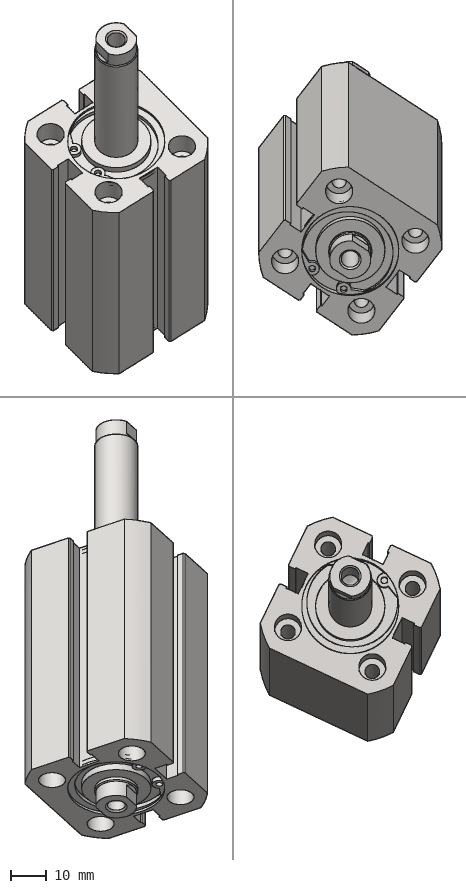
import cadquery as cq
import math


housing_width = 41.0
housing_length = 73.0
corner_radius = 25.5
mount_hole_spacing = 26.0
mount_hole_diameter = 4.0
counterbore_diameter = 7.5
counterbore_depth = 7.0

slot_floor_radius = 14.5
slot_width = 6.4
slot_mouth_width = 5.5
slot_lip_depth = 2.2
slot_mouth_chamfer = 0.4
slot_angles = (180, 270, 0)

rod_diameter = 12.0
rod_tip_diameter = 11.4
rod_top_reach = 46.0
rod_bottom_reach = 6.0
rod_tip_length = 4.8
rod_shoulder_chamfer = (rod_diameter - rod_tip_diameter) / 2
flat_width = 10.0
flat_length = 4.0
flat_runout_angle = 45
tapped_hole_diameter = 5.0
tapped_hole_depth = 12.0
tapped_hole_mouth_diameter = 6.0
drill_point_angle = 118

cover_diameter = 27.0
cover_boss_diameter = 19.2
cover_face_depth = 2.0
cover_length = 10.0

ring_thickness = 1.2
ring_slot_wall = 0.1
ring_outer_radius = slot_floor_radius - ring_slot_wall
ring_inner_radius = 12.6
ring_inner_offset = 1.2
lug_hole_x = 5.4
lug_hole_y = -10.8
lug_hole_radius = 0.94
lug_radius = 2.0
lug_root = (10.6, -8.0)
lug_neck = (7.5, -9.5)

half_width = housing_width / 2
mid_height = housing_length / 2
rod_bottom = -rod_bottom_reach
rod_top = housing_length + rod_top_reach


def mirrored_to_bottom(top_body):
    """Copy a body from the upper end of the housing to the lower end."""
    return top_body.mirror("XY", (0, 0, mid_height))


def cylinder(diameter, bottom, top):
    return cq.Workplane("XY", origin=(0, 0, bottom)).circle(diameter / 2).extrude(top - bottom)


def make_slot(angle):
    """T-slot cutter along the whole housing, opening outward at the given angle."""
    lip_inside = half_width - slot_lip_depth
    half_slot = slot_width / 2
    half_mouth = slot_mouth_width / 2
    chamfer_start = half_width - slot_mouth_chamfer
    half_mouth_outside = half_mouth + slot_mouth_chamfer
    upper_side = [
        (slot_floor_radius, half_slot),
        (lip_inside, half_slot),
        (lip_inside, half_mouth),
        (chamfer_start, half_mouth),
        (half_width, half_mouth_outside),
    ]
    lower_side = [(x, -y) for x, y in reversed(upper_side)]
    slot = cq.Workplane("XY").polyline(upper_side + lower_side).close().extrude(housing_length)
    return slot.rotate((0, 0, 0), (0, 0, 1), angle)


def make_mount_holes():
    """Four through holes, counterbored from both ends."""
    def at_corners(bottom, diameter, length):
        return (
            cq.Workplane("XY", origin=(0, 0, bottom))
            .rect(mount_hole_spacing, mount_hole_spacing, forConstruction=True)
            .vertices()
            .circle(diameter / 2)
            .extrude(length)
        )

    through = at_corners(0, mount_hole_diameter, housing_length)
    lower = at_corners(0, counterbore_diameter, counterbore_depth)
    upper = at_corners(housing_length - counterbore_depth, counterbore_diameter, counterbore_depth)
    return through.union(lower).union(upper)


def make_housing(snap_rings):
    housing = (
        cq.Workplane("XY")
        .rect(housing_width, housing_width)
        .extrude(housing_length)
        .intersect(cylinder(2 * corner_radius, 0, housing_length))
    )
    for angle in slot_angles:
        housing = housing.cut(make_slot(angle))
    housing = housing.cut(make_mount_holes())

    housing = housing.cut(cylinder(rod_diameter, 0, housing_length))
    recess_depth = cover_face_depth + cover_length
    cover_recess = cylinder(cover_diameter, housing_length - recess_depth, housing_length)
    housing = housing.cut(cover_recess).cut(mirrored_to_bottom(cover_recess))

    for ring in snap_rings:
        housing = housing.cut(ring)
    return housing


def make_cover():
    """Upper rod cover, with a boss flush with the end of the housing."""
    face = housing_length - cover_face_depth
    bottom = face - cover_length
    plug = cylinder(cover_diameter, bottom, face)
    boss = cylinder(cover_boss_diameter, bottom, housing_length)
    rod_bore = cylinder(rod_diameter, bottom, housing_length)
    return plug.union(boss).cut(rod_bore)


def make_snap_ring():
    """Upper snap ring, resting on the cover, with its gap and lugs on the -Y side."""
    bottom = housing_length - cover_face_depth
    plane = cq.Workplane("XY", origin=(0, 0, bottom))
    reach = 2
    lug_centre = (lug_hole_x, lug_hole_y)

    def disc(radius, x=0, y=0):
        return plane.center(x, y).circle(radius).extrude(ring_thickness)

    def plate(points):
        return plane.polyline(points).close().extrude(ring_thickness)

    def beyond(point):
        return (reach * point[0], reach * point[1])

    gap_right = beyond(lug_centre)
    gap_left = (-gap_right[0], gap_right[1])
    gap = plate([(0, 0), gap_left, gap_right])
    ring = disc(ring_outer_radius).cut(disc(ring_inner_radius, 0, -ring_inner_offset)).cut(gap)

    arm_outline = [lug_root, lug_neck, lug_centre, beyond(lug_centre), beyond(lug_root)]
    arm = plate(arm_outline).intersect(disc(ring_outer_radius))
    lug = arm.union(disc(lug_radius, *lug_centre))
    lug_hole = disc(lug_hole_radius, *lug_centre)
    ring = ring.union(lug).union(lug.mirror("YZ"))
    return ring.cut(lug_hole).cut(lug_hole.mirror("YZ"))


def make_flat(side):
    """Cutter for one wrench flat at the upper rod tip; side is -1 for -Y and 1 for +Y."""
    inner = flat_width / 2
    outer = rod_diameter
    flat_bottom = rod_top - flat_length
    runout_bottom = flat_bottom - (outer - inner) / math.tan(math.radians(flat_runout_angle))
    outline = [
        (side * inner, rod_top),
        (side * inner, flat_bottom),
        (side * outer, runout_bottom),
        (side * outer, rod_top),
    ]
    return cq.Workplane("YZ").polyline(outline).close().extrude(rod_diameter / 2, both=True)


def make_tapped_hole():
    """Cutter for the hole in the upper rod end: chamfered mouth and drill-point bottom."""
    radius = tapped_hole_diameter / 2
    mouth_radius = tapped_hole_mouth_diameter / 2
    mouth_chamfer = mouth_radius - radius
    hole_bottom = rod_top - tapped_hole_depth
    point_depth = radius / math.tan(math.radians(drill_point_angle / 2))
    outline = [
        (0, rod_top),
        (-mouth_radius, rod_top),
        (-radius, rod_top - mouth_chamfer),
        (-radius, hole_bottom),
        (0, hole_bottom - point_depth),
    ]
    return cq.Workplane("YZ").polyline(outline).close().revolve(360, (0, 0), (0, 1))


def make_rod():
    radius = rod_diameter / 2
    tip_radius = rod_tip_diameter / 2
    top_shoulder = rod_top - rod_tip_length
    bottom_shoulder = rod_bottom + rod_tip_length
    outline = [
        (0, rod_bottom),
        (-tip_radius, rod_bottom),
        (-tip_radius, bottom_shoulder),
        (-radius, bottom_shoulder + rod_shoulder_chamfer),
        (-radius, top_shoulder - rod_shoulder_chamfer),
        (-tip_radius, top_shoulder),
        (-tip_radius, rod_top),
        (0, rod_top),
    ]
    rod = cq.Workplane("YZ").polyline(outline).close().revolve(360, (0, 0), (0, 1))

    rod_middle = (0, 0, (rod_top + rod_bottom) / 2)
    for cutter in (make_flat(-1), make_flat(1), make_tapped_hole()):
        rod = rod.cut(cutter).cut(cutter.mirror("XY", rod_middle))
    return rod


top_ring = make_snap_ring()
top_cover = make_cover()
snap_rings = [top_ring, mirrored_to_bottom(top_ring)]
covers = [top_cover, mirrored_to_bottom(top_cover)]
housing = make_housing(snap_rings)
rod = make_rod()

result = cq.Compound.makeCompound(
    [
        housing.val(),
        rod.val(),
        *[cover.val() for cover in covers],
        *[ring.val() for ring in snap_rings],
    ]
)